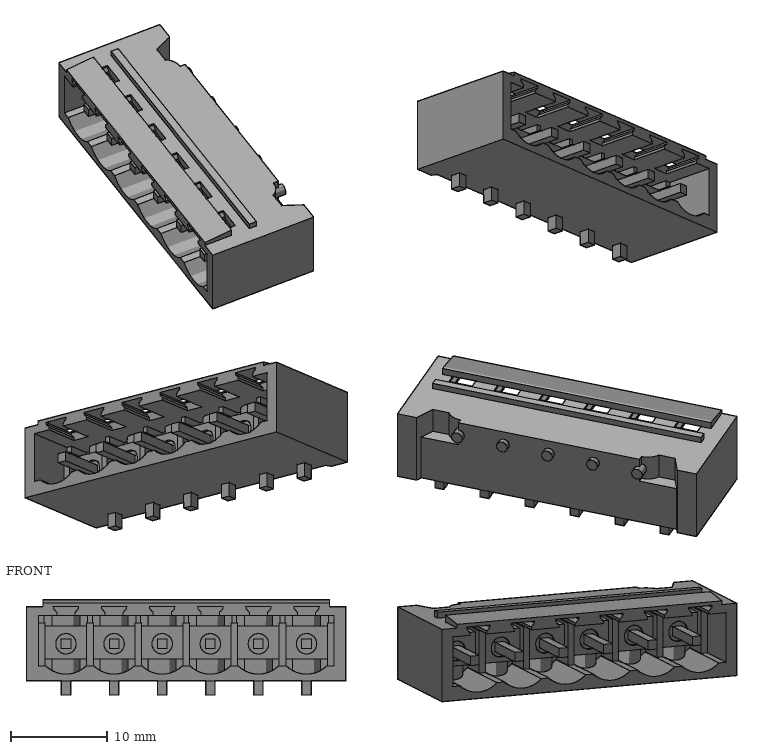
import cadquery as cq

LENGTH = 33.2
DEPTH = 12.0
HEIGHT = 7.7
CENTER_X = LENGTH / 2

PIN_COUNT = 6
PIN_ROW_LENGTH = 25.0
PITCH = PIN_ROW_LENGTH / (PIN_COUNT - 1)
PIN_SIDE = 1.0
PIN_AXIS_Z = 3.85
PIN_TIP_Y = 1.0
TAIL_AXIS_Y = 9.93
TAIL_DEPTH = 1.13
TAIL_LENGTH = 1.5
PIN_XS = [CENTER_X + (i - (PIN_COUNT - 1) / 2) * PITCH for i in range(PIN_COUNT)]
PEG_XS = [x + PITCH / 2 for x in PIN_XS[:-1]]

END_WALL = 1.23
CAVITY_FLOOR_Z = 1.53
CAVITY_CEILING_Z = 6.8
CAVITY_DEPTH = 7.97
TROUGH_RADIUS = 3.0
TROUGH_BOTTOM_Z = 0.7

LOWER_CELL_WIDTH = 4.3
UPPER_CELL_WIDTH = 4.5
RIB_STEP_Z = 6.0
LOWER_RIB_FRONT_Y = 4.98
UPPER_RIB_FRONT_Y = 5.48

BLOCK_BOTTOM_Z = 2.3
BLOCK_TOP_Z = 5.7
BLOCK_FRONT_Y = 5.98
UPRIGHT_RADIUS = 1.45
RECESS_RADIUS = 1.05
RECESS_DEPTH = 0.33

SLOT_TOP_WIDTH = 2.6
SLOT_THROAT_WIDTH = 1.9
SLOT_LENGTH = 4.2
SLOT_SHOULDER_DROP = 0.2
SLOT_THROAT_DROP = 0.6

RAIL_INSET = 1.7
RAIL_LENGTH = LENGTH - 2 * RAIL_INSET
RAMP_DEPTH = 3.2
RAMP_FLAT = 0.3
RAMP_FRONT_HEIGHT = 0.4
RAMP_BACK_HEIGHT = 0.73
RIDGE_FRONT_Y = 5.28
RIDGE_WIDTH = 0.83
RIDGE_HEIGHT = 0.63

BACK_SETBACK = 0.6
WING_WIDTH = 2.12
NOTCH_FLOOR_Z = 5.0
NOTCH_DEPTH = 2.1
NOTCH_FLAT_START = 3.15
NOTCH_FLAT_END = 4.95
NOTCH_ARC_MIDDLE_X = 5.55
NOTCH_ARC_MIDDLE_DEPTH = 1.45
NOTCH_ARC_END_X = 6.55
NOTCH_ARC_END_DEPTH = 1.2
PEG_RADIUS = 0.6
PEG_AXIS_Z = 6.2
PEG_LENGTH = 2.0


def box(x_min, x_max, y_min, y_max, z_min, z_max):
    """A box given by its limits on each axis."""
    return (
        cq.Workplane("XY", origin=(x_min, y_min, z_min))
        .box(x_max - x_min, y_max - y_min, z_max - z_min, centered=False)
    )


def box_about(x, width, y_min, y_max, z_min, z_max):
    """A box centred on x."""
    return box(x - width / 2, x + width / 2, y_min, y_max, z_min, z_max)


def rod(x, z, radius, y_min, y_max):
    """A round bar along Y."""
    return cq.Workplane("XZ", origin=(x, y_min, z)).circle(radius).extrude(y_min - y_max)


def pin(x):
    """A right-angle pin: a square contact along Y and a solder tail pointing down."""
    tail_back_y = TAIL_AXIS_Y + TAIL_DEPTH / 2
    top_z = PIN_AXIS_Z + PIN_SIDE / 2
    contact = box_about(x, PIN_SIDE, PIN_TIP_Y, tail_back_y, top_z - PIN_SIDE, top_z)
    tail = box_about(x, PIN_SIDE, tail_back_y - TAIL_DEPTH, tail_back_y, -TAIL_LENGTH, top_z)
    return contact.union(tail)


def cavity():
    """The mating space: a box with a rounded floor trough, kept within one pitch, under each pin."""
    space = box(END_WALL, LENGTH - END_WALL, 0, CAVITY_DEPTH, CAVITY_FLOOR_Z, CAVITY_CEILING_Z)
    for x in PIN_XS:
        trough = rod(x, TROUGH_BOTTOM_Z + TROUGH_RADIUS, TROUGH_RADIUS, 0, CAVITY_DEPTH)
        one_pitch = box_about(x, PITCH, 0, CAVITY_DEPTH, TROUGH_BOTTOM_Z, CAVITY_CEILING_Z)
        space = space.union(trough.intersect(one_pitch))
    return space


def ribs():
    """Walls between and beside the cells, with a thinner, set-back upper part."""
    left = END_WALL
    right = LENGTH - END_WALL
    lower = box(left, right, LOWER_RIB_FRONT_Y, CAVITY_DEPTH, CAVITY_FLOOR_Z, RIB_STEP_Z)
    upper = box(left, right, UPPER_RIB_FRONT_Y, CAVITY_DEPTH, RIB_STEP_Z, CAVITY_CEILING_Z)
    for x in PIN_XS:
        lower = lower.cut(box_about(x, LOWER_CELL_WIDTH, 0, CAVITY_DEPTH, 0, RIB_STEP_Z))
        upper = upper.cut(box_about(x, UPPER_CELL_WIDTH, 0, CAVITY_DEPTH, 0, HEIGHT))
    return lower.union(upper)


def pin_support(x):
    """A block between the ribs, with a round recess about the pin, and the upright behind it."""
    block = box_about(x, LOWER_CELL_WIDTH, BLOCK_FRONT_Y, CAVITY_DEPTH, BLOCK_BOTTOM_Z, BLOCK_TOP_Z)
    upright = (
        cq.Workplane("XY", origin=(x, CAVITY_DEPTH, TROUGH_BOTTOM_Z))
        .circle(UPRIGHT_RADIUS)
        .extrude(CAVITY_CEILING_Z - TROUGH_BOTTOM_Z)
    )
    recess = rod(x, PIN_AXIS_Z, RECESS_RADIUS, BLOCK_FRONT_Y, BLOCK_FRONT_Y + RECESS_DEPTH)
    return block.union(upright).cut(recess)


def coding_slot(x):
    """A slot from the front through the roof into the cavity, tapering to a throat."""
    half_top = SLOT_TOP_WIDTH / 2
    half_throat = SLOT_THROAT_WIDTH / 2
    shoulder_z = HEIGHT - SLOT_SHOULDER_DROP
    throat_z = HEIGHT - SLOT_THROAT_DROP
    return (
        cq.Workplane("XZ")
        .polyline([
            (x - half_top, HEIGHT),
            (x - half_top, shoulder_z),
            (x - half_throat, throat_z),
            (x - half_throat, CAVITY_CEILING_Z),
            (x + half_throat, CAVITY_CEILING_Z),
            (x + half_throat, throat_z),
            (x + half_top, shoulder_z),
            (x + half_top, HEIGHT),
        ])
        .close()
        .extrude(-SLOT_LENGTH)
    )


def latch_ramp():
    """The roof ramp, rising from the front edge to a narrow flat."""
    return (
        cq.Workplane("YZ", origin=(RAIL_INSET, 0, HEIGHT))
        .polyline([
            (0, 0),
            (0, RAMP_FRONT_HEIGHT),
            (RAMP_DEPTH - RAMP_FLAT, RAMP_BACK_HEIGHT),
            (RAMP_DEPTH, RAMP_BACK_HEIGHT),
            (RAMP_DEPTH, 0),
        ])
        .close()
        .extrude(RAIL_LENGTH)
    )


def ridge():
    """The straight roof rib behind the ramp."""
    back_y = RIDGE_FRONT_Y + RIDGE_WIDTH
    return box_about(CENTER_X, RAIL_LENGTH, RIDGE_FRONT_Y, back_y, HEIGHT, HEIGHT + RIDGE_HEIGHT)


def left_notch():
    """The cut in the upper back corner beside the left wing, ending in an arc."""
    arc_middle = (NOTCH_ARC_MIDDLE_X, DEPTH - NOTCH_ARC_MIDDLE_DEPTH)
    arc_end = (NOTCH_ARC_END_X, DEPTH - NOTCH_ARC_END_DEPTH)
    flat_y = DEPTH - NOTCH_DEPTH
    return (
        cq.Workplane("XY", origin=(0, 0, NOTCH_FLOOR_Z))
        .moveTo(WING_WIDTH, DEPTH)
        .lineTo(NOTCH_FLAT_START, flat_y)
        .lineTo(NOTCH_FLAT_END, flat_y)
        .threePointArc(arc_middle, arc_end)
        .lineTo(NOTCH_ARC_END_X, DEPTH)
        .close()
        .extrude(HEIGHT - NOTCH_FLOOR_Z)
    )


def back_setback():
    """The space behind the set-back middle, with sides sloped like the notches."""
    side_run = (NOTCH_FLAT_START - WING_WIDTH) * BACK_SETBACK / NOTCH_DEPTH
    return (
        cq.Workplane("XY")
        .polyline([
            (WING_WIDTH, DEPTH),
            (WING_WIDTH + side_run, DEPTH - BACK_SETBACK),
            (LENGTH - WING_WIDTH - side_run, DEPTH - BACK_SETBACK),
            (LENGTH - WING_WIDTH, DEPTH),
        ])
        .close()
        .extrude(HEIGHT)
    )


def make_housing():
    """The housing with all its details, bored to fit the pins."""
    body = box(0, LENGTH, 0, DEPTH, 0, HEIGHT)
    body = body.cut(cavity()).union(ribs())
    for x in PIN_XS:
        body = body.union(pin_support(x)).cut(coding_slot(x))

    body = body.union(latch_ramp()).union(ridge())

    notch = left_notch()
    body = body.cut(back_setback()).cut(notch)
    body = body.cut(notch.mirror("YZ", (CENTER_X, 0, 0)))
    for x in PEG_XS:
        body = body.union(rod(x, PEG_AXIS_Z, PEG_RADIUS, DEPTH - PEG_LENGTH, DEPTH))

    for x in PIN_XS:
        body = body.cut(pin(x))
    return body


housing = make_housing()
pins = [pin(x) for x in PIN_XS]

result = cq.Compound.makeCompound([housing.val(), *[p.val() for p in pins]])